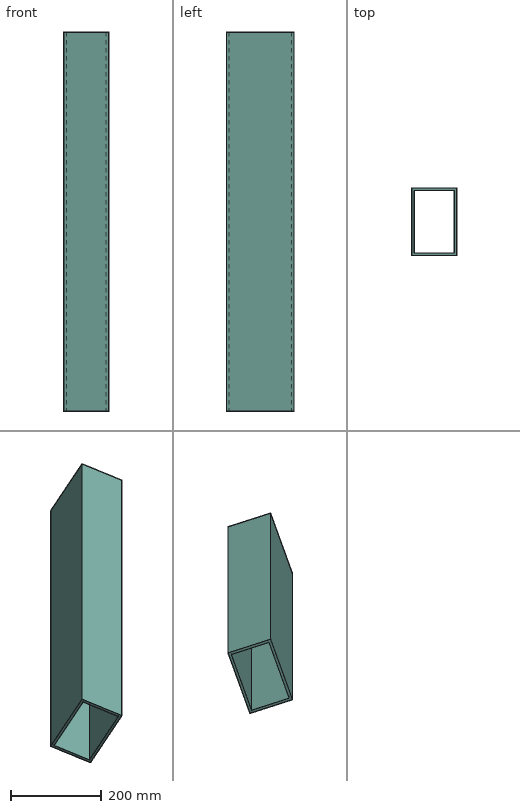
import cadquery as cq

width = 100.0
depth = 150.0
height = 840.0
wall = 6.0

outer = cq.Workplane("XY").rect(width, depth).extrude(height)
bore = cq.Workplane("XY").rect(width - 2 * wall, depth - 2 * wall).extrude(height)

result = outer.cut(bore)